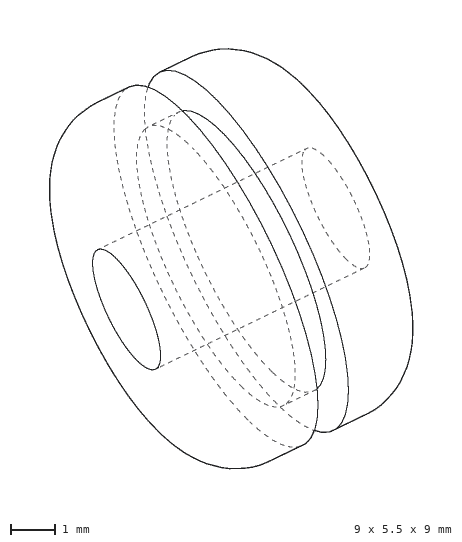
import cadquery as cq

outer_diameter = 9.0
width = 5.5
bore_diameter = outer_diameter / 3
groove_diameter = 7.0
groove_width = 0.8
rim_radius = 1.5


def disc(diameter, length):
    """Solid cylinder along Y, centred on the origin."""
    return cq.Workplane("XZ", origin=(0, length / 2, 0)).circle(diameter / 2).extrude(length)


body = disc(outer_diameter, width).edges("%CIRCLE").fillet(rim_radius)

groove = disc(outer_diameter, groove_width).cut(disc(groove_diameter, groove_width))

bore = disc(bore_diameter, width)

result = body.cut(groove).cut(bore)